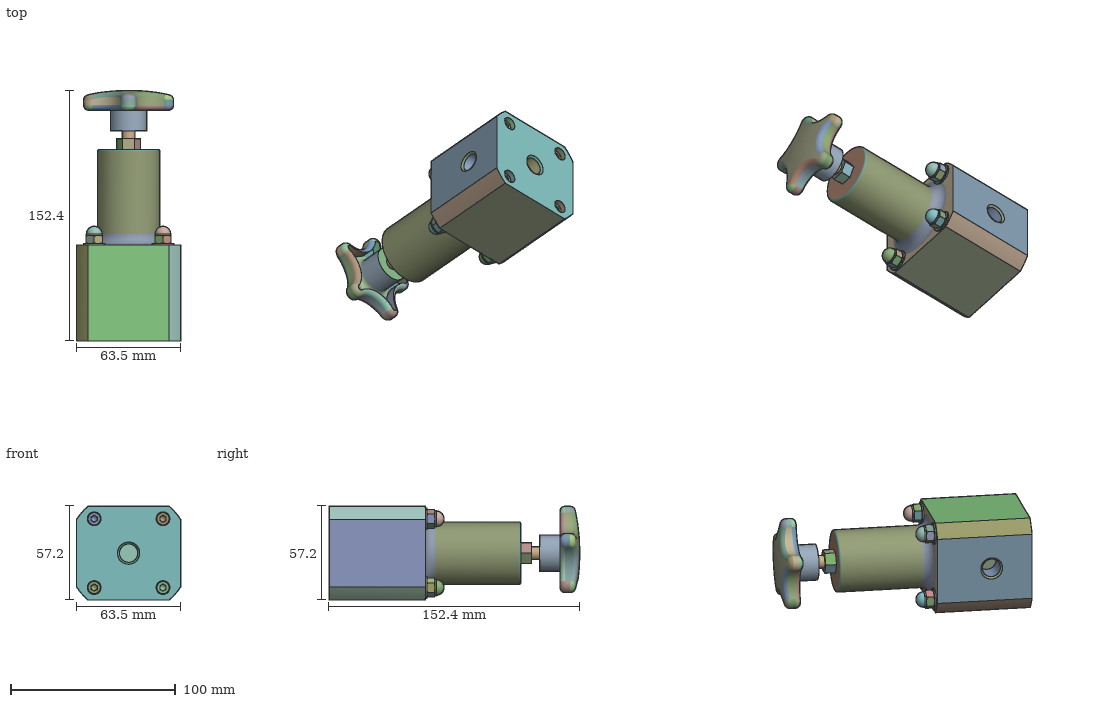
import cadquery as cq
import math


total_length = 152.39
front_y = -25.0

block_width = 63.5
block_height = 57.15
block_length = 58.42
block_corner_diameter = 75.5
block_back_y = front_y + block_length

port_diameter = 11.11
port_mouth_diameter = 13.5
port_depth = 16.0

bonnet_diameter = 38.1
bonnet_length = 58.0
bonnet_edge_radius = 1.2
bonnet_flare = 6.35
bonnet_top_y = block_back_y + bonnet_length
lock_nut_across_flats = 12.7
lock_nut_height = 6.6
stem_diameter = 7.92

screw_offset = 20.9
counterbore_diameter = 8.33
counterbore_depth = 6.0
screw_head_diameter = 7.92
screw_face_diameter = 7.44
screw_head_recess = 3.0
socket_across_flats = 3.73
socket_depth = 2.0
socket_tip_depth = 1.08
washer_diameter = 13.2
washer_thickness = 0.9
acorn_across_flats = 10.0
acorn_hex_top = 5.75
acorn_collar_top = 6.65
acorn_chamfer_height = 0.35
acorn_dome_diameter = 9.53

lobe_count = 5
lobe_center_radius = 23.9
lobe_radius = 4.675
valley_radius = 17.8
star_height = 12.2
star_dome_radius = 122.0
star_edge_radius = 3.18
star_rim = 3.0
star_pocket_depth = 5.8
hub_diameter = 22.1
hub_length = 12.4
hub_fillet = 3.4
knob_top_y = front_y + total_length
star_bottom_y = knob_top_y - star_height
hub_bottom_y = star_bottom_y - hub_length
dome_reach = lobe_center_radius + 2 * lobe_radius


def plane_at(y, x=0.0, z=0.0):
    """Sketch plane facing +Y, with local x along X and local y along Z reversed."""
    return cq.Workplane(cq.Plane(origin=(x, y, z), xDir=(1, 0, 0), normal=(0, 1, 0)))


def disc(diameter, y, length, x=0.0, z=0.0):
    return plane_at(y, x, z).circle(diameter / 2).extrude(length)


def across_corners(across_flats):
    return across_flats / math.cos(math.pi / 6)


def hexagon(across_flats, y, length, x=0.0, z=0.0, corner_turn=0.0):
    """Hexagonal prism along +Y; corners point along X, or along Z with a 30 degree turn."""
    sketch = plane_at(y, x, z).transformed(rotate=(0, 0, corner_turn))
    return sketch.polygon(6, across_corners(across_flats)).extrude(length)


def make_block():
    block = plane_at(front_y).rect(block_width, block_height).extrude(block_length)
    return block.intersect(disc(block_corner_diameter, front_y, block_length))


def port_cutter():
    """Port with a 45 degree mouth, entering along +Y from the XZ plane."""
    radius = port_diameter / 2
    mouth = port_mouth_diameter / 2
    profile = [
        (0, 0), (mouth, 0), (radius, mouth - radius), (radius, port_depth), (0, port_depth),
    ]
    return cq.Workplane("XY").polyline(profile).close().revolve(360, (0, 0, 0), (0, 1, 0))


def make_bonnet():
    radius = bonnet_diameter / 2
    flare_mid = bonnet_flare * (1 - math.sqrt(0.5))
    profile = (
        cq.Workplane("XY")
        .moveTo(0, block_back_y)
        .lineTo(radius + bonnet_flare, block_back_y)
        .threePointArc(
            (radius + flare_mid, block_back_y + flare_mid),
            (radius, block_back_y + bonnet_flare),
        )
        .lineTo(radius, bonnet_top_y)
        .lineTo(0, bonnet_top_y)
        .close()
    )
    bonnet = profile.revolve(360, (0, 0, 0), (0, 1, 0))
    return bonnet.faces(">Y").edges().fillet(bonnet_edge_radius)


def make_stem():
    nut = hexagon(lock_nut_across_flats, bonnet_top_y, lock_nut_height)
    return nut.union(disc(stem_diameter, bonnet_top_y, hub_bottom_y - bonnet_top_y))


def star_outline(y, inset):
    """Five-lobed outline of tangent arcs, moved inward by inset."""
    half_pitch = math.pi / lobe_count
    gap = valley_radius - lobe_radius
    hollow_center = (lobe_center_radius**2 - gap**2) / (
        2 * (lobe_center_radius * math.cos(half_pitch) - gap)
    )
    hollow_x = hollow_center * math.cos(half_pitch)
    hollow_y = hollow_center * math.sin(half_pitch)
    tangent_angle = math.atan2(hollow_y, hollow_x - lobe_center_radius)
    tip_radius = lobe_radius - inset
    shoulder_x = lobe_center_radius + tip_radius * math.cos(tangent_angle)
    shoulder_y = tip_radius * math.sin(tangent_angle)
    shoulder_radius = math.hypot(shoulder_x, shoulder_y)
    shoulder_angle = math.atan2(shoulder_y, shoulder_x)

    def point(radius, angle):
        return (radius * math.cos(angle), radius * math.sin(angle))

    first_lobe = -math.pi / 2
    outline = plane_at(y).moveTo(*point(shoulder_radius, first_lobe - shoulder_angle))
    for index in range(lobe_count):
        lobe = first_lobe + 2 * half_pitch * index
        outline = outline.threePointArc(
            point(lobe_center_radius + tip_radius, lobe),
            point(shoulder_radius, lobe + shoulder_angle),
        ).threePointArc(
            point(valley_radius - inset, lobe + half_pitch),
            point(shoulder_radius, lobe + 2 * half_pitch - shoulder_angle),
        )
    return outline.close()


def dome_envelope():
    """Domed disc, wider than the star, that shapes the top of the knob."""
    edge_drop = star_dome_radius - math.sqrt(star_dome_radius**2 - dome_reach**2)
    half_drop = star_dome_radius - math.sqrt(star_dome_radius**2 - (dome_reach / 2) ** 2)
    return (
        cq.Workplane("XY")
        .moveTo(0, star_bottom_y)
        .lineTo(dome_reach, star_bottom_y)
        .lineTo(dome_reach, knob_top_y - edge_drop)
        .threePointArc((dome_reach / 2, knob_top_y - half_drop), (0, knob_top_y))
        .close()
        .revolve(360, (0, 0, 0), (0, 1, 0))
    )


def make_knob():
    star = star_outline(star_bottom_y, 0).extrude(star_height)
    star = star.intersect(dome_envelope())
    star = star.faces("<Y").edges().fillet(star_edge_radius)
    star = star.faces(">Y").edges().fillet(star_edge_radius)
    star = star.cut(star_outline(star_bottom_y, star_rim).extrude(star_pocket_depth))

    radius = hub_diameter / 2
    pocket_floor_y = star_bottom_y + star_pocket_depth
    fillet_mid = hub_fillet * (1 - math.sqrt(0.5))
    hub = (
        cq.Workplane("XY")
        .moveTo(0, hub_bottom_y)
        .lineTo(radius, hub_bottom_y)
        .lineTo(radius, pocket_floor_y - hub_fillet)
        .threePointArc(
            (radius + fillet_mid, pocket_floor_y - fillet_mid),
            (radius + hub_fillet, pocket_floor_y),
        )
        .lineTo(0, pocket_floor_y)
        .close()
        .revolve(360, (0, 0, 0), (0, 1, 0))
    )
    return star.union(hub)


def screw_recess(x, z):
    """Counterbore around a socket screw head, open to the front."""
    bore = disc(counterbore_diameter, front_y, counterbore_depth, x, z)
    head_y = front_y + screw_head_recess
    head = disc(screw_head_diameter, head_y, counterbore_depth - screw_head_recess, x, z)
    head = head.faces("<Y").edges().chamfer((screw_head_diameter - screw_face_diameter) / 2)
    socket = hexagon(socket_across_flats, head_y, socket_depth, x, z, corner_turn=30)
    tip = cq.Solid.makeCone(
        socket_across_flats / 2, 0, socket_tip_depth,
        pnt=cq.Vector(x, head_y + socket_depth, z), dir=cq.Vector(0, 1, 0),
    )
    return bore.cut(head).union(socket).union(cq.Workplane(tip))


def acorn_nut(x, z):
    """Hexagon with turned corners on a washer, topped by a round collar and a dome."""
    flat_radius = acorn_across_flats / 2
    corner_radius = across_corners(acorn_across_flats) / 2
    hex_height = acorn_hex_top - washer_thickness
    body = hexagon(acorn_across_flats, washer_thickness, hex_height, corner_turn=30)
    envelope = (
        cq.Workplane("XY")
        .polyline([
            (0, washer_thickness),
            (flat_radius, washer_thickness),
            (corner_radius, washer_thickness + acorn_chamfer_height),
            (corner_radius, acorn_hex_top - acorn_chamfer_height),
            (flat_radius, acorn_hex_top),
            (0, acorn_hex_top),
        ])
        .close()
        .revolve(360, (0, 0, 0), (0, 1, 0))
    )
    washer = disc(washer_diameter, 0, washer_thickness)
    collar = disc(acorn_across_flats, acorn_hex_top, acorn_collar_top - acorn_hex_top)
    dome = cq.Workplane("XY").sphere(acorn_dome_diameter / 2).translate((0, acorn_collar_top, 0))
    nut = body.intersect(envelope).union(washer).union(collar).union(dome)
    return nut.translate((x, block_back_y, z))


result = make_block().union(make_bonnet()).union(make_stem()).union(make_knob())

front_port = port_cutter().translate((0, front_y, 0))
side_port = port_cutter().rotate((0, 0, 0), (0, 0, 1), -90).translate((-block_width / 2, 0, 0))
result = result.cut(front_port).cut(side_port)

for x in (-screw_offset, screw_offset):
    for z in (-screw_offset, screw_offset):
        result = result.cut(screw_recess(x, z)).union(acorn_nut(x, z))